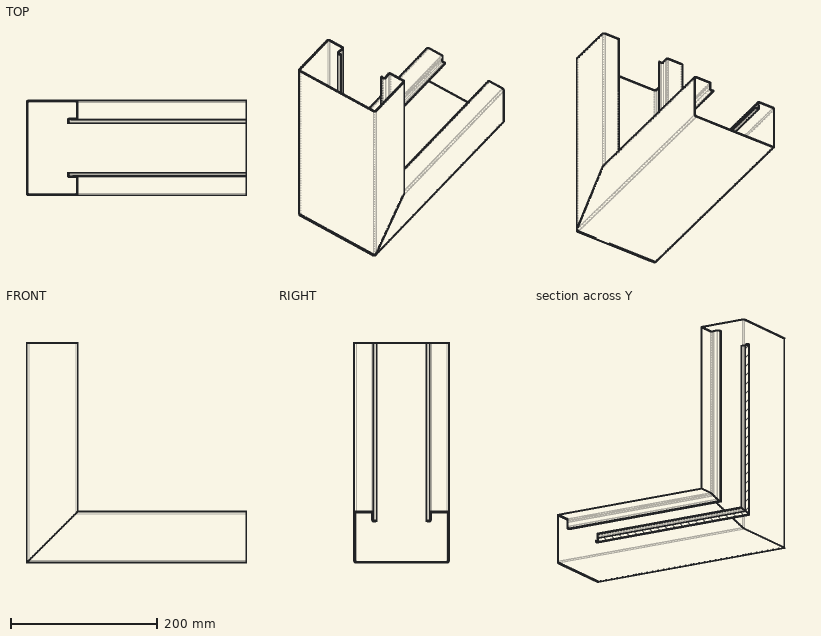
import cadquery as cq
import math

arm_length = 300.0
channel_width = 130.0
channel_depth = 70.0
wall = 1.5
bend_radius = 3.0
lip_bend_radius = 2.0
flange_width = 26.7
lip_straight = 4.5
lip_length = 14.5
lip_lean = 5.0
foot_reach = 31.2
foot_flat = 1.5
foot_slope = 14.0

half_width = channel_width / 2
lip_front = half_width - flange_width
lip_kink_x = channel_depth - lip_straight
foot_root_x = channel_depth - lip_length + wall
foot_root_y = lip_front + (lip_kink_x - foot_root_x) * math.tan(math.radians(lip_lean))
foot_tip_y = half_width - foot_reach
foot_kink_y = foot_tip_y + foot_flat
foot_tip_x = foot_root_x + (foot_root_y - foot_kink_y) * math.tan(math.radians(foot_slope))

back_corner = (0, half_width)
flange_corner = (channel_depth, half_width)
lip_corner = (channel_depth, lip_front)
lip_kink = (lip_kink_x, lip_front)
foot_root = (foot_root_x, foot_root_y)
foot_kink = (foot_tip_x, foot_kink_y)
foot_tip = (foot_tip_x, foot_tip_y)
outer_half = [back_corner, flange_corner, lip_corner, lip_kink, foot_root, foot_kink, foot_tip]


def mirrored(points):
    """The same corners on the -Y half."""
    return [(x, -y) for x, y in points]


def inner_corner(before, corner, after):
    """Corner of the sheet's inner face, one wall thickness to the right of the outer path."""
    heading_in = math.atan2(corner[1] - before[1], corner[0] - before[0])
    heading_out = math.atan2(after[1] - corner[1], after[0] - corner[0])
    half_turn = math.remainder(heading_out - heading_in, 2 * math.pi) / 2
    normal = heading_in + half_turn - math.pi / 2
    distance = wall / math.cos(half_turn)
    return (corner[0] + distance * math.cos(normal), corner[1] + distance * math.sin(normal))


def inner_face(outer):
    """Corners of the inner face, matching the outer corners one by one."""
    path = [(0, 0)] + outer
    corners = [inner_corner(*path[i - 1:i + 2]) for i in range(1, len(path) - 1)]
    tip = (outer[-1][0] - wall, outer[-1][1])
    return corners + [tip]


inner_half = inner_face(outer_half)


def round_bend(channel, outer, inner, outer_bulges, radius):
    """Round one bend on both halves; the bulging face gets the full radius."""
    bulging, hollow = (outer, inner) if outer_bulges else (inner, outer)
    for corner, corner_radius in ((bulging, radius), (hollow, radius - wall)):
        for x, y in [corner] + mirrored([corner]):
            edge = cq.selectors.NearestToPointSelector((x, y, arm_length / 2))
            channel = channel.edges(edge).fillet(corner_radius)
    return channel


def straight_channel():
    """Full-length upright channel, open towards +X, with rounded bends."""
    half_outline = outer_half + inner_half[::-1]
    outline = half_outline + mirrored(half_outline)[::-1]
    channel = cq.Workplane("XY").polyline(outline).close().extrude(arm_length)
    inner_of = dict(zip(outer_half, inner_half))
    channel = round_bend(channel, back_corner, inner_of[back_corner], True, bend_radius)
    channel = round_bend(channel, flange_corner, inner_of[flange_corner], True, bend_radius)
    channel = round_bend(channel, lip_corner, inner_of[lip_corner], True, lip_bend_radius)
    return round_bend(channel, foot_root, inner_of[foot_root], False, bend_radius)


def mitred_upright_arm():
    """Upright channel cut along the 45 degree plane X = Z, keeping the side above it."""
    keep = (
        cq.Workplane("XZ")
        .polyline([(0, 0), (arm_length, arm_length), (0, arm_length)])
        .close()
        .extrude(half_width, both=True)
    )
    return straight_channel().intersect(keep)


upright_arm = mitred_upright_arm()

level_arm = upright_arm.mirror(cq.Vector(1, 0, -1))

result = cq.Compound.makeCompound([upright_arm.val(), level_arm.val()])